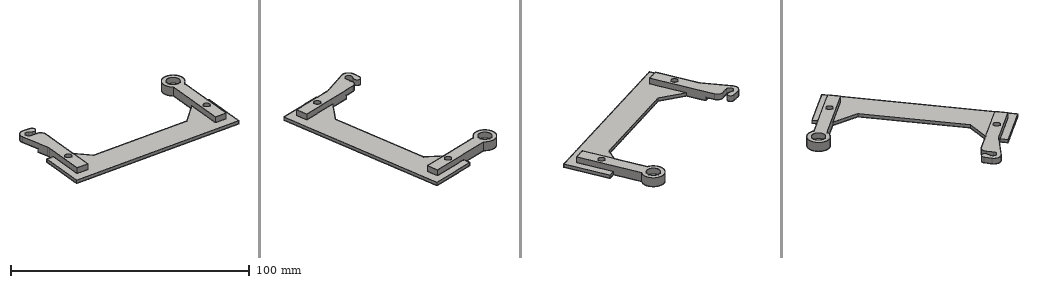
import cadquery as cq
import math

plate_length = 83.8
plate_end_width = 21.5
plate_middle_width = 12.55
plate_thickness = 1.6
plate_right = 38.7

height = 4.4
arm_width = 5.6
arm_spacing = 71.5
arm_right = plate_right - 4.4
screw_hole_x = plate_right - 14.6
screw_hole_diameter = 3.0

ring_diameter = 9.95
socket_diameter = 6.0
socket_floor = plate_thickness

shoulder_radius = 2.6
throat_radius = 1.6
throat_center = (-0.1, -3.0)
tip_radius = 1.5
tip_center = (-1.9, 0)
outer_radius = 3.1
outer_center = (-0.6, -3.5)
bend_radius = 4.0
bend_end_x = 14.4
hook_foot_start = 8.3

arm_half = arm_width / 2
arm_y = arm_spacing / 2


def make_plate():
    left = plate_right - plate_end_width
    inner_left = plate_right - plate_middle_width
    end_y = plate_length / 2
    corner_y = arm_y - arm_half
    inner_y = corner_y - (inner_left - left)
    points = [
        (plate_right, -end_y),
        (plate_right, end_y),
        (left, end_y),
        (left, corner_y),
        (inner_left, inner_y),
        (inner_left, -inner_y),
        (left, -corner_y),
        (left, -end_y),
    ]
    return cq.Workplane("XY").polyline(points).close().extrude(plate_thickness)


def make_ring_arm():
    arm = cq.Workplane("XY").box(arm_right, arm_width, height, centered=(False, True, False))
    ring = cq.Workplane("XY").circle(ring_diameter / 2).extrude(height)
    socket = (
        cq.Workplane("XY")
        .workplane(offset=socket_floor)
        .circle(socket_diameter / 2)
        .extrude(height - socket_floor)
    )
    return arm.union(ring).cut(socket)


def tangent_angle(start, end):
    """Direction of the line leaving one arc and joining the next; left turns have positive radius."""
    (x1, y1), r1 = start
    (x2, y2), r2 = end
    distance = math.hypot(x2 - x1, y2 - y1)
    return math.atan2(y2 - y1, x2 - x1) - math.asin((r2 - r1) / distance)


def point_on_arc(arc, direction):
    """Point of a signed-radius arc where the outline travels in the given direction."""
    (x, y), radius = arc
    return (x + radius * math.sin(direction), y - radius * math.cos(direction))


def make_hook_arm():
    wall_x = throat_center[0] + throat_radius
    shoulder_center = (wall_x + shoulder_radius, arm_half - shoulder_radius)
    bend_center = (bend_end_x, -arm_half - bend_radius)
    arcs = [
        (shoulder_center, shoulder_radius),
        (throat_center, -throat_radius),
        (tip_center, tip_radius),
        (outer_center, outer_radius),
        (bend_center, -bend_radius),
    ]
    directions = [math.pi]
    directions += [tangent_angle(start, end) for start, end in zip(arcs, arcs[1:])]
    directions += [0]

    outline = cq.Workplane("XY").moveTo(arm_right, -arm_half).lineTo(arm_right, arm_half)
    for arc, entering, leaving in zip(arcs, directions, directions[1:]):
        turn = (leaving - entering) % math.tau
        if arc[1] < 0:
            turn -= math.tau
        outline = outline.lineTo(*point_on_arc(arc, entering))
        outline = outline.threePointArc(
            point_on_arc(arc, entering + turn / 2), point_on_arc(arc, leaving)
        )
    arm = outline.close().extrude(height)

    undercut_size = 4 * arm_width
    undercut = cq.Workplane("XY").box(
        undercut_size, undercut_size, plate_thickness, centered=(False, True, False)
    )
    return arm.cut(undercut.translate((hook_foot_start - undercut_size, 0, 0)))


body = (
    make_plate()
    .union(make_ring_arm().translate((0, arm_y, 0)))
    .union(make_hook_arm().translate((0, -arm_y, 0)))
)
screw_holes = (
    cq.Workplane("XY")
    .pushPoints([(screw_hole_x, arm_y), (screw_hole_x, -arm_y)])
    .circle(screw_hole_diameter / 2)
    .extrude(height)
)
result = body.cut(screw_holes)